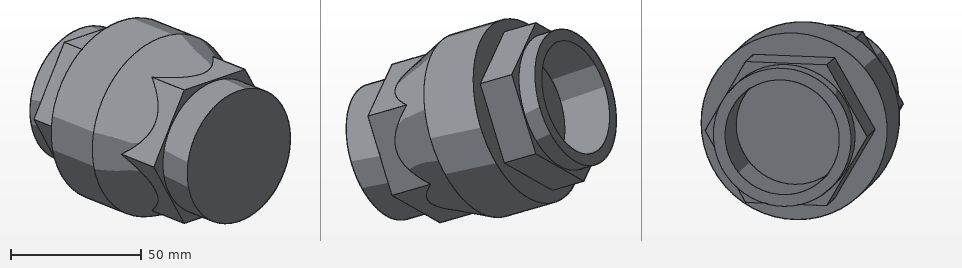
import cadquery as cq
import math

length = 89.0
first_hex_start = 7.5
body_start = 22.3
cone_start = 45.6
second_hex_end = 75.3

body_diameter = 73.0
pipe_diameter = 54.0
hex_across_flats = 55.1
bore_diameter = 44.9
bore_depth = 21.1

cone_flat_contact = 67.5

body_radius = body_diameter / 2
pipe_radius = pipe_diameter / 2
hex_apothem = hex_across_flats / 2
hex_across_corners = hex_across_flats / math.cos(math.pi / 6)
cone_slope = (body_radius - hex_apothem) / (cone_flat_contact - cone_start)
cone_end = cone_start + (body_radius - pipe_radius) / cone_slope


def section_at(x):
    """Workplane across the axis: local x is Y, local y is Z."""
    return cq.Workplane("YZ", origin=(x, 0, 0))


pipe = section_at(0).circle(pipe_radius).extrude(length)
hexagon = (
    section_at(first_hex_start)
    .polygon(6, hex_across_corners)
    .extrude(second_hex_end - first_hex_start)
)

body = (
    cq.Workplane("XY")
    .moveTo(body_start, 0)
    .lineTo(body_start, body_radius)
    .lineTo(cone_start, body_radius)
    .lineTo(cone_end, pipe_radius)
    .lineTo(cone_end, 0)
    .close()
    .revolve(360, (0, 0, 0), (1, 0, 0))
)

bore = section_at(0).circle(bore_diameter / 2).extrude(bore_depth)

centred = pipe.union(hexagon).union(body).cut(bore)
result = centred.translate((-length / 2, 0, 0))